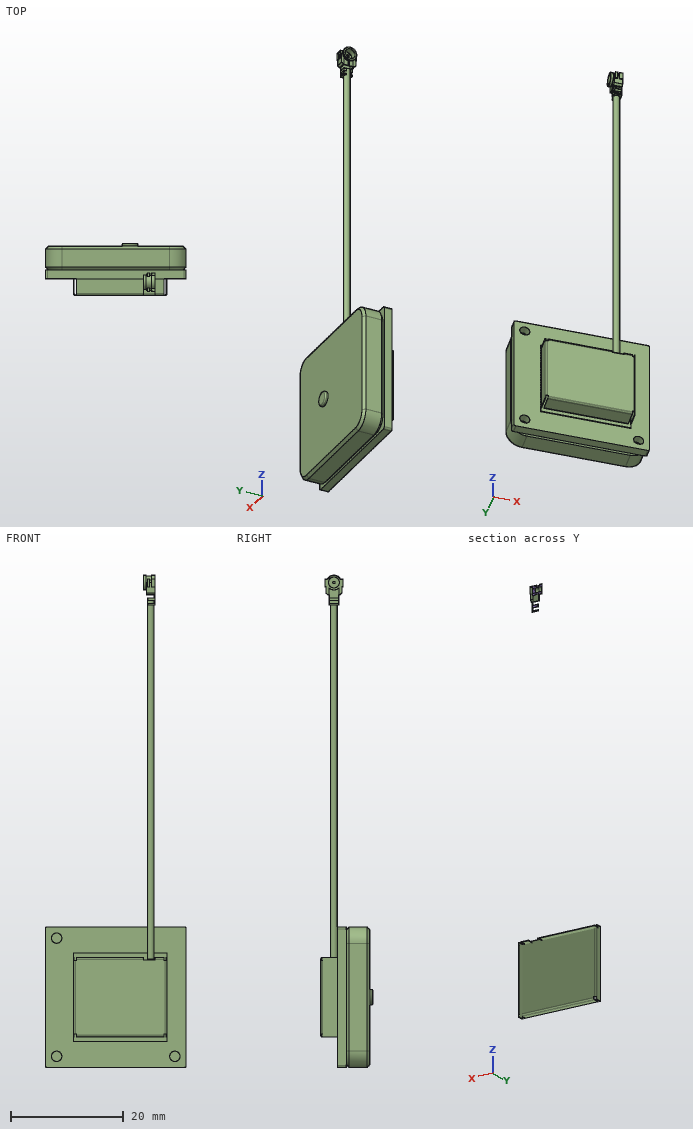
import cadquery as cq


BOARD_SIDE = 25.0
BOARD_THICKNESS = 1.6
BOARD_CORNER_RADIUS = 0.35
HOLE_DIAMETER = 1.8
HOLE_OFFSET = 10.5
HOLE_CORNERS = [(-1, 1), (-1, -1), (1, -1)]
BOARD_CENTER_Z = BOARD_SIDE / 2

CERAMIC_THICKNESS = 4.2
CERAMIC_CORNER_RADIUS = 3.0
CERAMIC_CHAMFER = 0.5
CERAMIC_BACK_Y = BOARD_THICKNESS + CERAMIC_THICKNESS

PIN_DIAMETER = 2.8
PIN_HEIGHT = 0.5
PIN_EDGE_RADIUS = 0.3
PIN_X = 2.5

CAN_CENTER_X = 0.8
CAN_WIDTH = 16.6
CAN_HEIGHT = 14.15
CAN_DEPTH = 3.0
SHEET_THICKNESS = 0.13
BEND_RADIUS = 0.35
CORNER_RELIEF = 0.5
RELIEF_WIDTH = CORNER_RELIEF - SHEET_THICKNESS
PAD_HEIGHT = 15.7
PAD_THICKNESS = 0.2
NOTCH_WIDTH = 2.1
NOTCH_CENTER_X = 5.9
NOTCH_DEPTH = 0.4
CAN_TOP_Z = BOARD_CENTER_Z + CAN_HEIGHT / 2

CABLE_DIAMETER = 1.2
CABLE_X = 6.2
CABLE_Y = -CABLE_DIAMETER / 2
CABLE_ENTRY = 0.3
CABLE_TOP_Z = 83.3
CABLE_BOTTOM_Z = CAN_TOP_Z - CABLE_ENTRY

PLUG_TOP_Z = 87.3
PLUG_FRONT_X = 4.9
PLUG_BACK_X = 7.0
BARREL_DIAMETER = 2.6
NECK_DIAMETER = 2.4
RIM_LENGTH = 0.4
CAP_LENGTH = 0.6
BORE_DIAMETER = 1.9
PLUG_WALL = 0.2
BARREL_Z = PLUG_TOP_Z - BARREL_DIAMETER / 2
WING_WIDTH = 3.2
INNER_WING_FRONT_X = 5.6
INNER_WING_LENGTH = 0.4
WING_BOTTOM_Z = 85.2
WING_TOP_Z = 86.6
ARM_WIDTH = 2.9
ARM_DEPTH = 1.6
ARM_BOTTOM_Z = 83.8
ARM_CAVITY_WIDTH = 1.8
ARM_SEAM_WIDTH = 0.2
ARM_CHAMFER = 0.35
CLIP_WIDTH = 1.75
CLIP_FRONT_X = 5.7
UPPER_CLIP_HEIGHT = 0.5
LOWER_CLIP_HEIGHT = 0.3
LOWER_CLIP_BOTTOM_Z = 82.0
BASE_THICKNESS = 0.6
CONTACT_DIAMETER = 0.4
CONTACT_LENGTH = 1.4


def block(x_range, y_range, z_range):
    """Box between two limits on each axis."""
    (x0, x1), (y0, y1), (z0, z1) = x_range, y_range, z_range
    return cq.Workplane("XY").box(x1 - x0, y1 - y0, z1 - z0, centered=False).translate((x0, y0, z0))


def plate(x, z, width, height, y_front, y_back):
    """Rectangular plate centred on x and z, between two Y positions."""
    return block(
        (x - width / 2, x + width / 2),
        (y_front, y_back),
        (z - height / 2, z + height / 2),
    )


def rod_along_x(diameter, x_start, x_end):
    """Cylinder on the axis of the plug's socket."""
    start = cq.Workplane("YZ", origin=(x_start, CABLE_Y, BARREL_Z))
    return start.circle(diameter / 2).extrude(x_end - x_start)


def make_ground_pad():
    return plate(CAN_CENTER_X, BOARD_CENTER_Z, CAN_WIDTH, PAD_HEIGHT, 0, PAD_THICKNESS)


def make_board():
    board = plate(0, BOARD_CENTER_Z, BOARD_SIDE, BOARD_SIDE, 0, BOARD_THICKNESS)
    board = board.edges("|Y").fillet(BOARD_CORNER_RADIUS)
    for side_x, side_z in HOLE_CORNERS:
        hole_center = (side_x * HOLE_OFFSET, 0, BOARD_CENTER_Z + side_z * HOLE_OFFSET)
        hole = cq.Workplane("XZ", origin=hole_center).circle(HOLE_DIAMETER / 2).extrude(-BOARD_THICKNESS)
        board = board.cut(hole)
    return board.cut(make_ground_pad())


def make_ceramic():
    ceramic = plate(0, BOARD_CENTER_Z, BOARD_SIDE, BOARD_SIDE, BOARD_THICKNESS, CERAMIC_BACK_Y)
    ceramic = ceramic.edges("|Y").fillet(CERAMIC_CORNER_RADIUS)
    return ceramic.faces("<Y or >Y").edges().chamfer(CERAMIC_CHAMFER)


def make_feed_pin():
    base = cq.Workplane("XZ", origin=(PIN_X, CERAMIC_BACK_Y, BOARD_CENTER_Z))
    pin = base.circle(PIN_DIAMETER / 2).extrude(-PIN_HEIGHT)
    return pin.faces(">Y").edges().fillet(PIN_EDGE_RADIUS)


def make_can():
    can = plate(CAN_CENTER_X, BOARD_CENTER_Z, CAN_WIDTH, CAN_HEIGHT, -CAN_DEPTH, 0)
    can = can.faces("<Y").edges().fillet(BEND_RADIUS)
    inside_width = CAN_WIDTH - 2 * SHEET_THICKNESS
    inside_height = CAN_HEIGHT - 2 * SHEET_THICKNESS
    inside_front = SHEET_THICKNESS - CAN_DEPTH
    inside = plate(CAN_CENTER_X, BOARD_CENTER_Z, inside_width, inside_height, inside_front, 0)
    inside = inside.faces("<Y").edges().fillet(BEND_RADIUS - SHEET_THICKNESS)
    can = can.cut(inside)

    for side_x in (-1, 1):
        for side_z in (-1, 1):
            relief = plate(
                CAN_CENTER_X + side_x * (CAN_WIDTH / 2 - SHEET_THICKNESS - RELIEF_WIDTH / 2),
                BOARD_CENTER_Z + side_z * (CAN_HEIGHT - CORNER_RELIEF) / 2,
                RELIEF_WIDTH,
                CORNER_RELIEF,
                -CAN_DEPTH,
                0,
            )
            can = can.cut(relief)

    notch = plate(NOTCH_CENTER_X, CAN_TOP_Z, NOTCH_WIDTH, 2 * NOTCH_DEPTH, -CAN_DEPTH, 0)
    return can.cut(notch)


def make_cable():
    base = cq.Workplane("XY", origin=(CABLE_X, CABLE_Y, CABLE_BOTTOM_Z))
    return base.circle(CABLE_DIAMETER / 2).extrude(CABLE_TOP_Z - CABLE_BOTTOM_Z)


def centered_block(x_front, x_back, width, z_bottom, z_top):
    """Box centred on the cable in Y."""
    y_range = (CABLE_Y - width / 2, CABLE_Y + width / 2)
    return block((x_front, x_back), y_range, (z_bottom, z_top))


def make_plug_barrel():
    """Rim and cap joined by a thinner neck, with two pairs of side wings."""
    rim_back = PLUG_FRONT_X + RIM_LENGTH
    cap_front = PLUG_BACK_X - CAP_LENGTH
    rim = rod_along_x(BARREL_DIAMETER, PLUG_FRONT_X, rim_back)
    neck = rod_along_x(NECK_DIAMETER, rim_back, cap_front)
    cap = rod_along_x(BARREL_DIAMETER, cap_front, PLUG_BACK_X)
    barrel = rim.union(neck).union(cap)
    wing_spans = [
        (INNER_WING_FRONT_X, INNER_WING_FRONT_X + INNER_WING_LENGTH),
        (cap_front, PLUG_BACK_X),
    ]
    for x_front, x_back in wing_spans:
        barrel = barrel.union(centered_block(x_front, x_back, WING_WIDTH, WING_BOTTOM_Z, WING_TOP_Z))
    return barrel


def make_plug_arms():
    """Two folded arms below the barrel, meeting at a seam in front and open at the bottom."""
    arm_front = PLUG_BACK_X - ARM_DEPTH
    cavity_front = arm_front + PLUG_WALL
    cavity_back = PLUG_BACK_X - PLUG_WALL
    arms = centered_block(arm_front, PLUG_BACK_X, ARM_WIDTH, ARM_BOTTOM_Z, BARREL_Z)
    arms = arms.faces("<Z").edges("|X").chamfer(ARM_CHAMFER)
    cavity = centered_block(cavity_front, cavity_back, ARM_CAVITY_WIDTH, ARM_BOTTOM_Z, BARREL_Z)
    seam = centered_block(arm_front, cavity_front, ARM_SEAM_WIDTH, ARM_BOTTOM_Z, BARREL_Z)
    return arms.cut(cavity).cut(seam)


def make_plug_clips():
    """Two clips around the end of the cable, hung from a strip along the back."""
    strip_front = PLUG_BACK_X - PLUG_WALL
    clips = centered_block(strip_front, PLUG_BACK_X, CLIP_WIDTH, LOWER_CLIP_BOTTOM_Z, BARREL_Z)
    clip_spans = [
        (CABLE_TOP_Z - UPPER_CLIP_HEIGHT, CABLE_TOP_Z),
        (LOWER_CLIP_BOTTOM_Z, LOWER_CLIP_BOTTOM_Z + LOWER_CLIP_HEIGHT),
    ]
    for z_bottom, z_top in clip_spans:
        clips = clips.union(centered_block(CLIP_FRONT_X, PLUG_BACK_X, CLIP_WIDTH, z_bottom, z_top))
    return clips.cut(make_cable())


def make_plug_shell():
    shell = make_plug_barrel().union(make_plug_arms()).union(make_plug_clips())
    return shell.cut(rod_along_x(BORE_DIAMETER, PLUG_FRONT_X, PLUG_BACK_X - PLUG_WALL))


def make_contact():
    contact_back = PLUG_BACK_X - PLUG_WALL
    return rod_along_x(CONTACT_DIAMETER, contact_back - CONTACT_LENGTH, contact_back)


def make_insulator():
    insulator_back = PLUG_BACK_X - PLUG_WALL
    insulator = rod_along_x(BORE_DIAMETER, insulator_back - BASE_THICKNESS, insulator_back)
    return insulator.cut(make_contact())


board = make_board()
ceramic = make_ceramic()
feed_pin = make_feed_pin()
ground_pad = make_ground_pad()
can = make_can()
cable = make_cable()
plug_shell = make_plug_shell()
insulator = make_insulator()
contact = make_contact()

result = cq.Compound.makeCompound(
    [
        board.val(),
        ceramic.val(),
        feed_pin.val(),
        ground_pad.val(),
        can.val(),
        cable.val(),
        plug_shell.val(),
        insulator.val(),
        contact.val(),
    ]
)